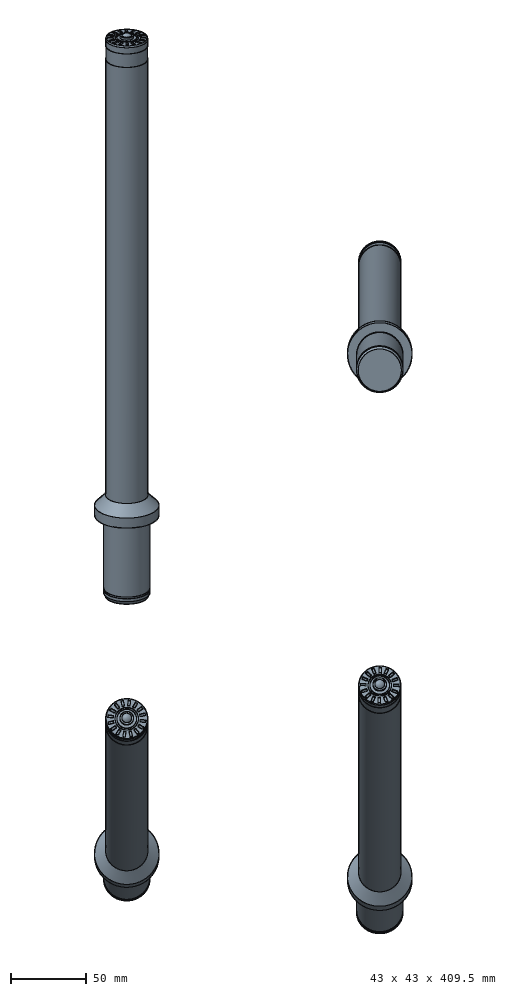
import cadquery as cq
import math

total_height = 409.5
tube_diameter = 28.3
tube_radius = tube_diameter / 2
flange_diameter = 43.0
flange_radius = flange_diameter / 2
shank_radius = 15.5

foot_chamfer_width = 1.2
foot_groove_bottom = 4.5
foot_groove_top = 5.7
groove_depth = 0.2
foot_radius = shank_radius - foot_chamfer_width
groove_radius = shank_radius - groove_depth
foot_chamfer_height = 2.5
relief_bottom = 56.0

flange_bottom = 58.5
flange_top = 66.0
cone_top = flange_top + flange_radius - tube_radius

neck_bottom = 390.7
neck_top = 400.5
neck_depth = 0.2
neck_radius = tube_radius - neck_depth
boss_radius = 4.5
boss_height = 1.5
dome_base_radius = 3.3
dome_height = 1.5
boss_top = total_height - dome_height
head_top = boss_top - boss_height
rim_chamfer_width = 0.5
rim_chamfer_height = 1.2

slot_count = 16
slot_inner_radius = 9.0
slot_outer_radius = 12.5
slot_width = 1.5
slot_depth = 1.2
ring_groove_inner_radius = 6.5
ring_groove_outer_radius = 7.8


def make_body():
    """Revolve the stepped outer profile and the domed tip about Z."""
    sphere_radius = (dome_base_radius**2 + dome_height**2) / (2 * dome_height)
    sphere_centre = total_height - sphere_radius
    dome_mid_radius = dome_base_radius / 2
    dome_mid_height = sphere_centre + math.sqrt(sphere_radius**2 - dome_mid_radius**2)
    return (
        cq.Workplane("XZ")
        .moveTo(0, 0)
        .lineTo(foot_radius, 0)
        .lineTo(shank_radius, foot_chamfer_height)
        .lineTo(shank_radius, foot_groove_bottom)
        .lineTo(groove_radius, foot_groove_bottom)
        .lineTo(groove_radius, foot_groove_top)
        .lineTo(shank_radius, foot_groove_top)
        .lineTo(shank_radius, relief_bottom)
        .lineTo(groove_radius, relief_bottom)
        .lineTo(groove_radius, flange_bottom)
        .lineTo(flange_radius, flange_bottom)
        .lineTo(flange_radius, flange_top)
        .lineTo(tube_radius, cone_top)
        .lineTo(tube_radius, neck_bottom)
        .lineTo(neck_radius, neck_bottom)
        .lineTo(neck_radius, neck_top)
        .lineTo(tube_radius, neck_top)
        .lineTo(tube_radius, head_top - rim_chamfer_height)
        .lineTo(tube_radius - rim_chamfer_width, head_top)
        .lineTo(boss_radius, head_top)
        .lineTo(boss_radius, boss_top)
        .lineTo(dome_base_radius, boss_top)
        .threePointArc((dome_mid_radius, dome_mid_height), (0, total_height))
        .close()
        .revolve(360, (0, 0, 0), (0, 1, 0))
    )


def make_ring_groove():
    """Shallow annular groove around the dome."""
    return (
        cq.Workplane("XY", origin=(0, 0, head_top - slot_depth))
        .circle(ring_groove_outer_radius)
        .circle(ring_groove_inner_radius)
        .extrude(slot_depth)
    )


def make_slots():
    """Radial slots between the ring groove and the rim of the head."""
    slot_length = slot_outer_radius - slot_inner_radius
    slot_middle = slot_inner_radius + slot_length / 2
    return (
        cq.Workplane("XY", origin=(0, 0, head_top - slot_depth))
        .polarArray(slot_middle, 0, 360, slot_count)
        .rect(slot_length, slot_width)
        .extrude(slot_depth)
    )


result = make_body().cut(make_ring_groove()).cut(make_slots())